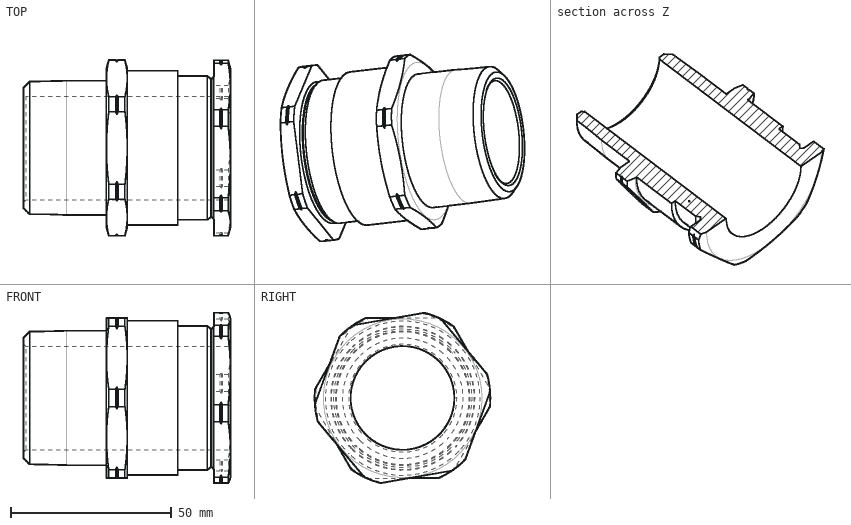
import cadquery as cq
import math

length = 64.7
entry_chamfer = 1.95
taper_end = 13.4
collar_start = 25.9
collar_end = 32.5
body_end = 48.25
neck_chamfer_start = 57.45
neck_bottom_start = 58.55
neck_bottom_end = 58.8
nut_start = 59.45

bore_radius = 16.2
bore_chamfer = 0.7
thread_radius = 21.0
taper_radius = 20.8
body_radius = 24.15
rear_radius = 22.5
neck_radius = 21.6
neck_rim_radius = 22.3

across_flats = 50.1
corner_radius = 27.5
chamfer_circle_radius = 24.8
hex_chamfer_length = 0.8
nut_rotation = 10.0

groove_half_width = 0.4
groove_depth = 0.3
collar_groove_x = (collar_start + collar_end) / 2
nut_groove_x = 61.7


def revolve_about_x(points):
    """Revolve a closed (x, radius) outline about the X axis."""
    return cq.Workplane("XY").polyline(points).close().revolve(360, (0, 0, 0), (1, 0, 0))


def hexagon(start, end, groove_x, rotation, chamfer_start):
    """Hexagon with rounded, chamfered and grooved corners."""
    across_corners = across_flats / math.cos(math.radians(30))
    prism = (
        cq.Workplane("YZ", origin=(start, 0, 0))
        .polygon(6, across_corners)
        .extrude(end - start)
        .rotate((0, 0, 0), (1, 0, 0), rotation)
    )
    outline = [(start, 0)]
    if chamfer_start:
        outline += [(start, chamfer_circle_radius), (start + hex_chamfer_length, corner_radius)]
    else:
        outline += [(start, corner_radius)]
    outline += [
        (end - hex_chamfer_length, corner_radius),
        (end, chamfer_circle_radius),
        (end, 0),
    ]
    groove = revolve_about_x([
        (groove_x - groove_half_width, corner_radius),
        (groove_x, corner_radius - groove_depth),
        (groove_x + groove_half_width, corner_radius),
    ])
    return prism.intersect(revolve_about_x(outline)).cut(groove)


sleeve = revolve_about_x([
    (0, 0),
    (0, taper_radius - entry_chamfer),
    (entry_chamfer, taper_radius),
    (taper_end, thread_radius),
    (collar_start, thread_radius),
    (collar_start, body_radius),
    (body_end, body_radius),
    (body_end, rear_radius),
    (neck_chamfer_start, rear_radius),
    (neck_bottom_start, neck_radius),
    (neck_bottom_end, neck_radius),
    (nut_start, neck_rim_radius),
    (nut_start, 0),
])

collar = hexagon(collar_start, collar_end, collar_groove_x, 0, True)
nut = hexagon(nut_start, length, nut_groove_x, nut_rotation, False)

bore = revolve_about_x([
    (0, 0),
    (0, bore_radius + bore_chamfer),
    (bore_chamfer, bore_radius),
    (length, bore_radius),
    (length, 0),
])

result = sleeve.union(collar).union(nut).cut(bore)